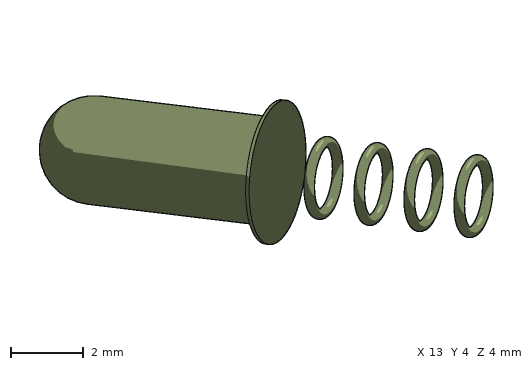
import cadquery as cq

total_length = 13.0
plunger_length = 7.0
plunger_diameter = 3.0
flange_diameter = 4.0
flange_thickness = 0.1
ring_outer_diameter = 2.3
ring_wire_diameter = 0.3
ring_pitch = 1.5
ring_count = 4

plunger_radius = plunger_diameter / 2
flange_radius = flange_diameter / 2
wire_radius = ring_wire_diameter / 2
ring_centre_radius = ring_outer_diameter / 2 - wire_radius
flange_front = plunger_length - flange_thickness
last_ring_x = total_length - wire_radius


def make_plunger():
    """Round-nosed plunger with a thin flange at its rear end."""
    dome_shoulder = plunger_radius
    dome_mid = plunger_radius * 0.5 ** 0.5
    half_profile = (
        cq.Workplane("XY")
        .moveTo(0, 0)
        .threePointArc((plunger_radius - dome_mid, dome_mid), (dome_shoulder, plunger_radius))
        .lineTo(flange_front, plunger_radius)
        .lineTo(flange_front, flange_radius)
        .lineTo(plunger_length, flange_radius)
        .lineTo(plunger_length, 0)
        .close()
    )
    return half_profile.revolve(360, (0, 0, 0), (1, 0, 0))


def make_ring(x):
    """Ring of round wire, centred on the X axis at x."""
    centre = cq.Vector(x, 0, 0)
    axis = cq.Vector(1, 0, 0)
    return cq.Solid.makeTorus(ring_centre_radius, wire_radius, centre, axis)


plunger = make_plunger()

rings = []
for index in range(ring_count):
    rings.append(make_ring(last_ring_x - index * ring_pitch))

result = cq.Compound.makeCompound([plunger.val(), *rings])